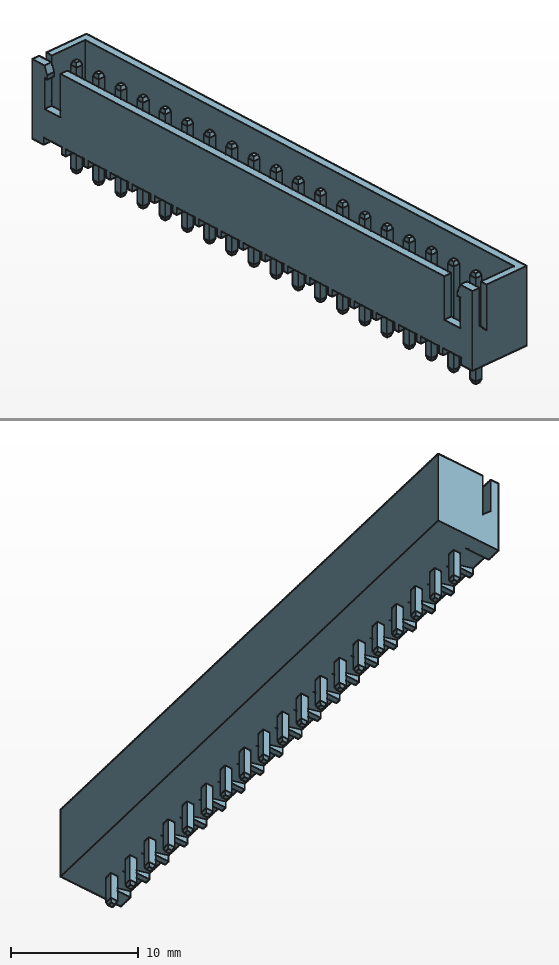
import cadquery as cq

LENGTH = 50.4
DEPTH = 5.85
HEIGHT = 7.2
LONG_WALL = 0.75
END_WALL = 0.65
FLOOR = 1.5

PIN_COUNT = 19
PIN_ROW_LENGTH = 45.7
PITCH = PIN_ROW_LENGTH / (PIN_COUNT - 1)
PIN_WIDTH = 0.65
PIN_Y = 2.55
PIN_BOTTOM = -3.0
PIN_FROM_RIM = 0.2
PIN_TOP = HEIGHT - PIN_FROM_RIM
TIP_LENGTH = 0.35
TIP_WIDTH = 0.4

SLOT_FROM_END = 1.4
SLOT_WIDTH = 1.8
SLOT_DEPTH = 3.95
BUMP_REACH = 0.3
BUMP_RAMP = 0.75
BUMP_HEIGHT = 1.15

END_SLOT_WIDTH = 0.75
END_SLOT_DEPTH = 4.15

RELIEF_WIDTH = 2.05
RELIEF_HEIGHT = 0.65
RELIEF_DEPTH = PIN_Y - PIN_WIDTH / 2

PIN_XS = [-PIN_ROW_LENGTH / 2 + i * PITCH for i in range(PIN_COUNT)]


def block(x_range, y_range, z_range):
    """Box spanning the given (low, high) range on each axis."""
    size = [high - low for low, high in (x_range, y_range, z_range)]
    corner = (x_range[0], y_range[0], z_range[0])
    return cq.Workplane("XY").box(*size, centered=False).translate(corner)


def extrude_along_x(yz_points, length):
    """Prism with the given Y-Z outline, centred on X = 0."""
    return cq.Workplane("YZ").polyline(yz_points).close().extrude(length / 2, both=True)


def make_shell():
    half_cavity = LENGTH / 2 - END_WALL
    outer = block((-LENGTH / 2, LENGTH / 2), (0, DEPTH), (0, HEIGHT))
    cavity = block((-half_cavity, half_cavity), (LONG_WALL, DEPTH - LONG_WALL), (FLOOR, HEIGHT))
    return outer.cut(cavity)


def make_left_key_slot():
    """Cutter for the left front slot; the latch bump is left standing on its outer side."""
    outer_x = -LENGTH / 2 + SLOT_FROM_END
    inner_x = outer_x + SLOT_WIDTH
    bump_x = outer_x + BUMP_REACH
    bottom_z = HEIGHT - SLOT_DEPTH
    outline = [
        (outer_x, HEIGHT),
        (bump_x, HEIGHT - BUMP_RAMP),
        (bump_x, HEIGHT - BUMP_HEIGHT),
        (outer_x, HEIGHT - BUMP_HEIGHT),
        (outer_x, bottom_z),
        (inner_x, bottom_z),
        (inner_x, HEIGHT),
    ]
    return cq.Workplane("XZ").polyline(outline).close().extrude(-LONG_WALL)


def make_end_slots():
    """Cutter for both end walls; between them it only crosses the open cavity."""
    front_y = LONG_WALL
    back_y = front_y + END_SLOT_WIDTH
    low_z = HEIGHT - END_SLOT_DEPTH
    outline = [
        (front_y, HEIGHT),
        (front_y, low_z + END_SLOT_WIDTH),
        (back_y, low_z),
        (back_y, HEIGHT),
    ]
    return extrude_along_x(outline, LENGTH)


def make_relief():
    return extrude_along_x([(0, 0), (0, RELIEF_HEIGHT), (RELIEF_DEPTH, 0)], RELIEF_WIDTH)


def make_pin():
    """Pin centred on X = 0, with a pyramid taper at each end."""
    shank_bottom = PIN_BOTTOM + TIP_LENGTH
    shank_top = PIN_TOP - TIP_LENGTH
    half = PIN_WIDTH / 2
    shank = block((-half, half), (PIN_Y - half, PIN_Y + half), (shank_bottom, shank_top))
    for shank_end, tip_end in ((shank_bottom, PIN_BOTTOM), (shank_top, PIN_TOP)):
        tip = (
            cq.Workplane("XY", origin=(0, PIN_Y, shank_end))
            .rect(PIN_WIDTH, PIN_WIDTH)
            .workplane(offset=tip_end - shank_end)
            .rect(TIP_WIDTH, TIP_WIDTH)
            .loft(ruled=True)
        )
        shank = shank.union(tip)
    return shank


left_key_slot = make_left_key_slot()
result = (
    make_shell()
    .cut(left_key_slot)
    .cut(left_key_slot.mirror("YZ"))
    .cut(make_end_slots())
)

relief = make_relief()
pin = make_pin()
for pin_x in PIN_XS:
    result = result.cut(relief.translate((pin_x, 0, 0)))
for pin_x in PIN_XS:
    result = result.union(pin.translate((pin_x, 0, 0)))